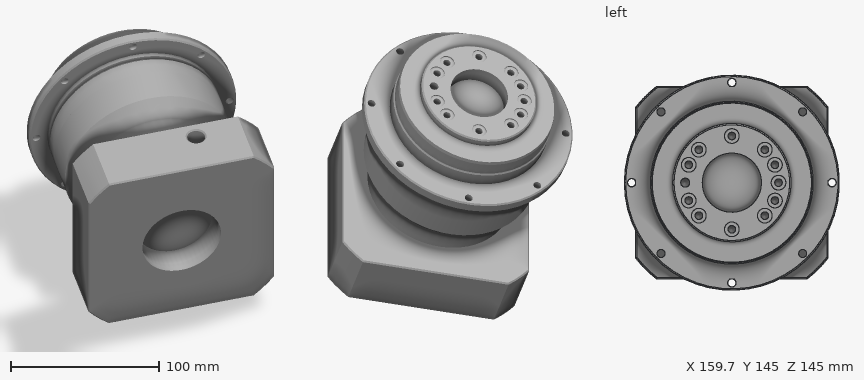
import cadquery as cq
import math


spindle_front = 0.0
housing_front = 5.6
register_start = 8.0
register_end = 17.9
pilot_start = 19.0
flange_front = 28.9
flange_back = 37.0
groove_start = 40.1
groove_end = 43.5
ring_gear_front = 47.0
ring_gear_back = 55.7
cone_start = 80.6
cone_end = 92.8
neck_start = 108.0
plate_front = 117.9
plate_back = 159.7

spindle_radius = 40.0
spindle_end = flange_front
spindle_chamfer = 1.0
spindle_bore_radius = 20.0
spindle_bore_depth = 12.0
bolt_circle_radius = 31.5
bolt_angles = [0, 22.5, 45, 90, 135, 157.5, 202.5, 225, 270, 315, 337.5]
bolt_hole_radius = 2.5
bolt_recess_radius = 5.0
bolt_recess_depth = 1.0
bolt_hole_depth = 12.8
dowel_angle = 180
dowel_hole_radius = 3.0
dowel_hole_depth = 9.6
drill_point_angle = 118

register_rim_radius = 53.7
register_radius = 54.1
pilot_radius = 55.0
flange_radius = 72.5
flange_chamfer = 1.0
flange_hole_count = 8
flange_hole_circle_radius = 67.5
flange_hole_radius = 2.7
body_radius = 59.9
groove_radius = 57.8
groove_bevel = 0.5
rear_radius = 50.3

neck_radius = 40.0
plate_width = 130.0
plate_corner_radius = 82.4
plate_chamfer = 1.0
cavity_radius = 27.5
access_hole_x = 129.8
access_hole_y = 18.4
access_hole_radius = 6.0
access_hole_chamfer = 1.0

hub_radius = 26.4
hub_length = 23.3
hub_turn = 3.0
screw_x = 129.4
screw_y = 18.7
screw_seat_height = 12.8
screw_seat_radius = 5.9
screw_hole_radius = 3.8


def revolve_profile(points):
    """Solid of revolution about X from (x, radius) points that run along its outside."""
    start_x = points[0][0]
    end_x = points[-1][0]
    outline = [(start_x, 0), *points, (end_x, 0)]
    return cq.Workplane("XY").polyline(outline).close().revolve(360, (0, 0), (1, 0))


def cylinder_x(start_x, end_x, radius):
    return cq.Workplane("YZ").workplane(offset=start_x).circle(radius).extrude(end_x - start_x)


def place_on_circle(tool, circle_radius, angle):
    """Move a tool on the X axis out to a hole circle; angle 0 is -Y and 90 is +Z."""
    turn = math.radians(angle)
    return tool.translate((0, -circle_radius * math.cos(turn), circle_radius * math.sin(turn)))


def blind_hole(radius, depth):
    """Drilled hole along +X from the spindle face, ending in a conical drill point."""
    point_length = radius / math.tan(math.radians(drill_point_angle / 2))
    tip_start = cq.Vector(spindle_front + depth, 0, 0)
    drill_tip = cq.Solid.makeCone(radius, 0, point_length, tip_start, cq.Vector(1, 0, 0))
    return cylinder_x(spindle_front, spindle_front + depth, radius).union(cq.Workplane(drill_tip))


def make_spindle():
    spindle = cylinder_x(spindle_front, spindle_end, spindle_radius)
    spindle = spindle.faces("<X").chamfer(spindle_chamfer)
    bore = cylinder_x(spindle_front, spindle_front + spindle_bore_depth, spindle_bore_radius)
    spindle = spindle.cut(bore)
    bolt_hole = blind_hole(bolt_hole_radius, bolt_hole_depth)
    bolt_recess = cylinder_x(spindle_front, spindle_front + bolt_recess_depth, bolt_recess_radius)
    bolt_hole = bolt_hole.union(bolt_recess)
    for angle in bolt_angles:
        spindle = spindle.cut(place_on_circle(bolt_hole, bolt_circle_radius, angle))
    dowel_hole = blind_hole(dowel_hole_radius, dowel_hole_depth)
    return spindle.cut(place_on_circle(dowel_hole, bolt_circle_radius, dowel_angle))


def make_front_housing():
    housing = revolve_profile([
        (housing_front, register_rim_radius),
        (register_start, register_radius),
        (register_end, register_radius),
        (pilot_start, pilot_radius),
        (flange_front, pilot_radius),
        (flange_front, flange_radius - flange_chamfer),
        (flange_front + flange_chamfer, flange_radius),
        (flange_back - flange_chamfer, flange_radius),
        (flange_back, flange_radius - flange_chamfer),
        (flange_back, body_radius),
        (groove_start, body_radius),
        (groove_start + groove_bevel, groove_radius),
        (groove_end, groove_radius),
        (groove_end, body_radius),
        (ring_gear_front, body_radius),
    ])
    housing = housing.cut(cylinder_x(housing_front, spindle_end, spindle_radius))
    flange_hole = cylinder_x(flange_front, flange_back, flange_hole_radius)
    for index in range(flange_hole_count):
        angle = index * 360 / flange_hole_count
        housing = housing.cut(place_on_circle(flange_hole, flange_hole_circle_radius, angle))
    return housing


def make_ring_gear():
    return cylinder_x(ring_gear_front, ring_gear_back, body_radius)


def make_rear_housing():
    return revolve_profile([
        (ring_gear_back, body_radius),
        (cone_start, body_radius),
        (cone_end, rear_radius),
        (neck_start, rear_radius),
    ])


def make_access_hole():
    """Screwdriver hole from the top of the plate down into the cavity, bevelled at its mouth."""
    plate_top = plate_width / 2
    hole = cq.Workplane("XY").circle(access_hole_radius).extrude(plate_top)
    mouth_radius = access_hole_radius + access_hole_chamfer
    mouth = cq.Workplane("XY").workplane(offset=plate_top).circle(mouth_radius)
    mouth = mouth.workplane(offset=-access_hole_chamfer).circle(access_hole_radius).loft()
    return hole.union(mouth).translate((access_hole_x, access_hole_y, 0))


def make_adapter():
    """Square plate with rounded-off corners, its neck and the cavity for the clamp hub."""
    plate_length = plate_back - plate_front
    plate = cq.Workplane("YZ").workplane(offset=plate_front).rect(plate_width, plate_width)
    plate = plate.extrude(plate_length)
    plate = plate.intersect(cylinder_x(plate_front, plate_back, plate_corner_radius))
    plate = plate.faces("<X or >X").chamfer(plate_chamfer)
    adapter = plate.union(cylinder_x(neck_start, plate_front, neck_radius))
    adapter = adapter.cut(cylinder_x(plate_front, plate_back, cavity_radius))
    return adapter.cut(make_access_hole())


def make_clamp_hub():
    hub = cylinder_x(plate_front, plate_front + hub_length, hub_radius)
    screw_seat = cq.Workplane("XY", origin=(screw_x, screw_y, screw_seat_height))
    screw_seat = screw_seat.circle(screw_seat_radius).extrude(hub_radius)
    screw_hole = cq.Workplane("XY", origin=(screw_x, screw_y, 0))
    screw_hole = screw_hole.circle(screw_hole_radius).extrude(hub_radius, both=True)
    hub = hub.cut(screw_seat).cut(screw_hole)
    return hub.rotate((0, 0, 0), (1, 0, 0), -hub_turn)


spindle = make_spindle()
front_housing = make_front_housing()
ring_gear = make_ring_gear()
rear_housing = make_rear_housing()
adapter = make_adapter()
clamp_hub = make_clamp_hub()

result = cq.Compound.makeCompound([
    spindle.val(),
    front_housing.val(),
    ring_gear.val(),
    rear_housing.val(),
    adapter.val(),
    clamp_hub.val(),
])